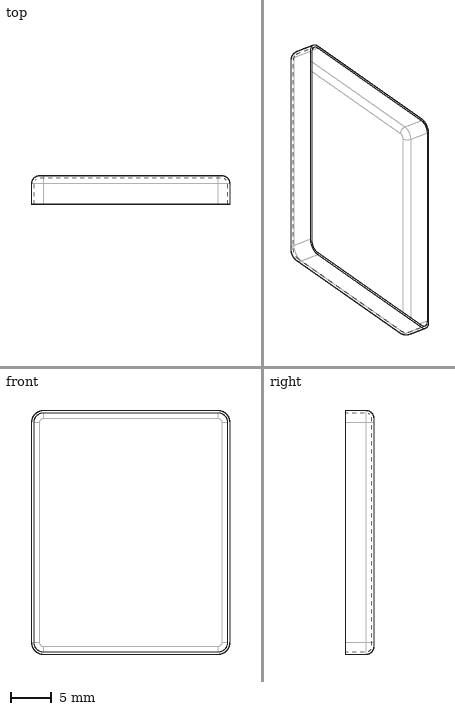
import cadquery as cq

width = 24.4
depth = 3.5
height = 30.0
wall = 0.3
corner_radius = 1.5
floor_edge_radius = 1.0


def rounded_block(inset):
    """Block with the tray's outside shape, offset inward by inset on all sides but the open one."""
    return (
        cq.Workplane("XZ")
        .rect(width - 2 * inset, height - 2 * inset)
        .extrude(-(depth - inset))
        .edges("|Y")
        .fillet(corner_radius - inset)
        .faces(">Y")
        .edges()
        .fillet(floor_edge_radius - inset)
    )


outside = rounded_block(0)
cavity = rounded_block(wall)
result = outside.cut(cavity)